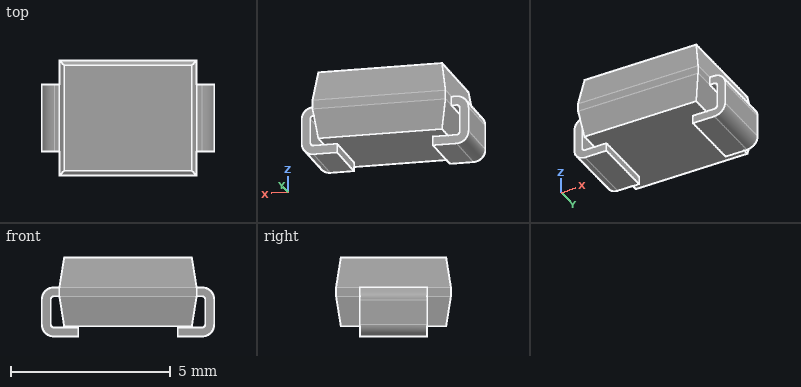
import cadquery as cq

overall_length = 5.4
overall_height = 2.48

package_length = 4.3
package_width = 3.6
package_standoff = 0.32
wall_inset = 0.15

lead_thickness = 0.285
lead_width = 2.1
foot_length = 1.15
inner_bend_radius = 0.1
outer_bend_radius = inner_bend_radius + lead_thickness

taper_height = (overall_height - package_standoff - lead_thickness) / 2
band_bottom = package_standoff + taper_height
band_top = band_bottom + lead_thickness


def make_tapered_half(band_level, face_level):
    """Frustum from the full-size band outline to a smaller end face."""
    return (
        cq.Workplane("XY", origin=(0, 0, band_level))
        .rect(package_length, package_width)
        .workplane(offset=face_level - band_level)
        .rect(package_length - 2 * wall_inset, package_width - 2 * wall_inset)
        .loft(ruled=True)
    )


def make_package():
    """Straight middle band with a tapered half above and below it."""
    band = (
        cq.Workplane("XY", origin=(0, 0, band_bottom))
        .rect(package_length, package_width)
        .extrude(lead_thickness)
    )
    upper_half = make_tapered_half(band_top, overall_height)
    lower_half = make_tapered_half(band_bottom, package_standoff)
    return band.union(upper_half).union(lower_half)


def make_lead():
    """C-shaped strip at the -X end, from the package wall to a foot under it."""
    outer_x = -overall_length / 2
    inner_x = outer_x + lead_thickness
    wall_x = -package_length / 2
    foot_end_x = outer_x + foot_length
    strip = (
        cq.Workplane("XZ")
        .moveTo(wall_x, band_top)
        .lineTo(outer_x, band_top)
        .lineTo(outer_x, 0)
        .lineTo(foot_end_x, 0)
        .lineTo(foot_end_x, lead_thickness)
        .lineTo(inner_x, lead_thickness)
        .lineTo(inner_x, band_bottom)
        .lineTo(wall_x, band_bottom)
        .close()
        .extrude(lead_width / 2, both=True)
    )
    bent_strip = strip.edges("|Y and <X").fillet(outer_bend_radius)
    inner_corners = cq.selectors.BoxSelector(
        (inner_x - inner_bend_radius, -lead_width, 0),
        (inner_x + inner_bend_radius, lead_width, band_top),
    )
    return bent_strip.edges("|Y").edges(inner_corners).fillet(inner_bend_radius)


package = make_package()

leads = []
for turn in (0, 180):
    leads.append(make_lead().rotate((0, 0, 0), (0, 0, 1), turn))

result = cq.Compound.makeCompound([package.val(), *[lead.val() for lead in leads]])